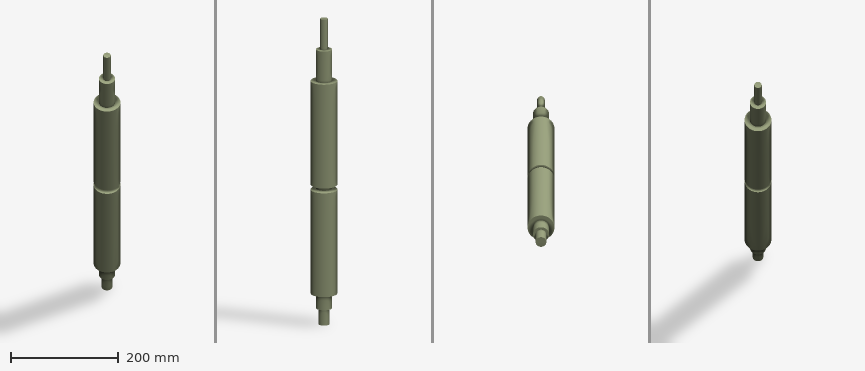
import cadquery as cq
import math

roller_diameter = 50.0
journal_diameter = 30.0
lower_pin_diameter = 20.0
upper_pin_diameter = 14.0

total_length = 597.4
lower_pin_length = 31.5
lower_journal_length = 29.0
roller_length = 203.0
rim_gap = 9.4
upper_pin_length = 60.0

cone_angle = 10.0
cone_height = (roller_diameter - journal_diameter) / 2 * math.tan(math.radians(cone_angle))

lower_journal_base = lower_pin_length
lower_roller_base = lower_journal_base + lower_journal_length
lower_roller_top = lower_roller_base + roller_length
upper_roller_base = lower_roller_top + rim_gap
upper_roller_top = upper_roller_base + roller_length
upper_pin_base = total_length - upper_pin_length

half_profile = [
    (0, 0),
    (lower_pin_diameter / 2, 0),
    (lower_pin_diameter / 2, lower_journal_base),
    (journal_diameter / 2, lower_journal_base),
    (journal_diameter / 2, lower_roller_base),
    (roller_diameter / 2, lower_roller_base),
    (roller_diameter / 2, lower_roller_top),
    (journal_diameter / 2, lower_roller_top + cone_height),
    (journal_diameter / 2, upper_roller_base - cone_height),
    (roller_diameter / 2, upper_roller_base),
    (roller_diameter / 2, upper_roller_top),
    (journal_diameter / 2, upper_roller_top),
    (journal_diameter / 2, upper_pin_base),
    (upper_pin_diameter / 2, upper_pin_base),
    (upper_pin_diameter / 2, total_length),
    (0, total_length),
]


def revolve_about_z(profile):
    """Revolve a (radius, height) half profile, laid out on the -X side, about the Z axis."""
    points = [(-radius, height) for radius, height in profile]
    return cq.Workplane("XZ").polyline(points).close().revolve(360, (0, 0, 0), (0, 1, 0))


result = revolve_about_z(half_profile)